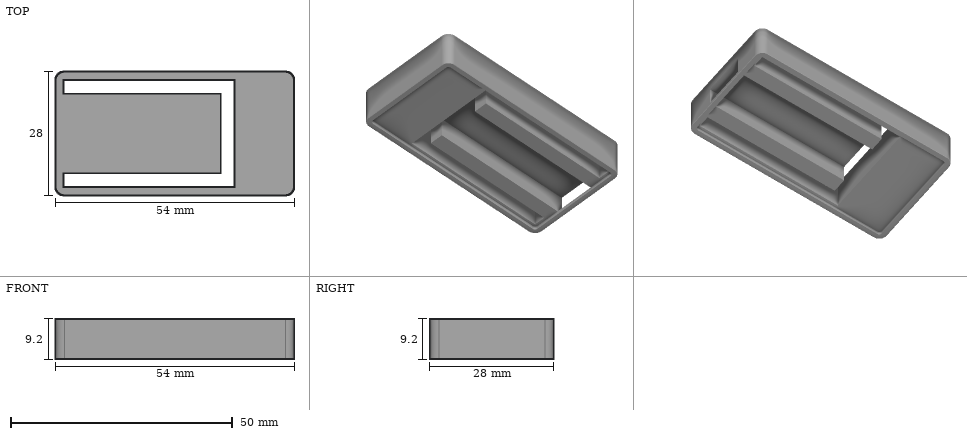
import cadquery as cq

length = 54.0
width = 28.0
height = 9.2
corner_radius = 2.05
edge_chamfer = 0.1

wall = 2.0
opening_end = 40.45
opening_width = width - 2 * wall
tongue_end = 37.4
tongue_width = 18.05

window_width = 10.8
window_bottom = 0.9
window_top = 5.95
recess_rim = 1.3


def box_between(x_start, x_end, y_size, z_start, z_end):
    """Box centred on Y, given by its ends along X and Z."""
    return (
        cq.Workplane("XY")
        .box(x_end - x_start, y_size, z_end - z_start, centered=(False, True, False))
        .translate((x_start, 0, z_start))
    )


case = box_between(0, length, width, 0, height).edges("|Z").fillet(corner_radius)
case = case.faces("<Z or >Z").chamfer(edge_chamfer)

opening = box_between(wall, opening_end, opening_width, 0, height)
opening_bevel = (
    cq.Workplane("XY", origin=((wall + opening_end) / 2, 0, height - edge_chamfer))
    .rect(opening_end - wall, opening_width)
    .workplane(offset=edge_chamfer)
    .rect(opening_end - wall + 2 * edge_chamfer, opening_width + 2 * edge_chamfer)
    .loft(ruled=True)
)
case = case.cut(opening).cut(opening_bevel)

case = case.union(box_between(wall / 2, tongue_end, tongue_width, 0, height))

recess = box_between(recess_rim, length - recess_rim, width - 2 * recess_rim, 0, window_bottom)
case = case.cut(recess.edges("|Z").fillet(corner_radius - recess_rim))

passage = box_between(0, tongue_end, window_width, window_bottom, window_top)
result = case.cut(passage)